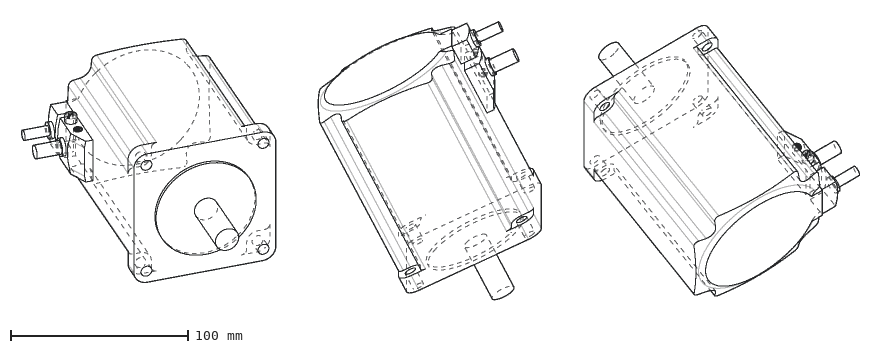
import cadquery as cq
import math

total_length = 151.0
square = 85.0
half = square / 2

shaft_dia = 14.0
shaft_length = 35.0
pilot_dia = 60.0
pilot_height = 2.0
pilot_x = total_length - shaft_length - pilot_height

flange_thickness = 10.0
flange_corner_radius = 8.0
bolt_spacing = 70.0
bolt_hole_dia = 6.5
flange_x = pilot_x - flange_thickness

relief_radius = 6.5
relief_edge_radius = 3.0
relief_wall = bolt_spacing / 2 - relief_radius

rear_face_radius = 37.5
cone_step_radius = 40.9
cone_step_x = 1.8
outer_cone_slope = 0.26
cone_outer_radius = half * math.sqrt(2)
cone_outer_x = cone_step_x + outer_cone_slope * (cone_outer_radius - cone_step_radius)

outlet_edge_depth = 9.4
outlet_crown_depth = 10.9
collar_depth = 13.0
cable_depth = 27.8
embed = 1.5

signal_box_start = 0.6
signal_box_end = 12.4
signal_box_half_height = 13.1
signal_collar_dia = 10.0
signal_cable_dia = 6.0

power_box_start = 16.5
power_box_end = 45.1
power_box_half_height = 13.5
power_cable_x = 25.7
power_collar_dia = 10.5
power_cable_dia = 8.0

slope_edge_depth = 4.2
slope_flat_depth = 5.0
slope_flat_half_height = 9.4
slope_rate = 0.48

screw_x = 21.7
screw_depth = 4.8
screw_dia = 7.0
screw_height = 4.8
screw_rim_radius = 1.2
screw_slot_width = 0.9
screw_slot_depth = 1.2
screw_slot_angle = -45
screw_recess_side = 2.1

symbol_x = 31.5
symbol_depth = 4.1
symbol_dia = 5.1
symbol_line = 0.3
symbol_height = 0.3
symbol_bar_lengths = (4.8, 3.2, 1.5)
symbol_bar_pitch = 0.83


def cylinder_x(start, length, dia):
    """Cylinder on the motor axis."""
    return cq.Workplane("YZ").workplane(offset=start).circle(dia / 2).extrude(length)


def box_x(start, end, y_start, y_end, half_height):
    """Box spanning the given X and Y ranges, centred on Z = 0."""
    size = (end - start, y_end - y_start, 2 * half_height)
    return cq.Workplane("XY").box(*size, centered=(False, False, True)).translate((start, y_start, 0))


def make_body():
    """Square motor body with rounded reliefs along its four edges."""
    body = box_x(0, flange_x, -half, half, half)
    relief_size = half - relief_wall
    for y_sign in (-1, 1):
        for z_sign in (-1, 1):
            centre = (y_sign * (relief_wall + half) / 2, z_sign * (relief_wall + half) / 2)
            relief = cq.Workplane("YZ").center(*centre).rect(relief_size, relief_size).extrude(flange_x)
            body = body.cut(relief)
    middle_x = flange_x / 2
    for y_sign in (-1, 1):
        for z_sign in (-1, 1):
            inner_point = (middle_x, y_sign * relief_wall, z_sign * relief_wall)
            inner_edge = cq.selectors.NearestToPointSelector(inner_point)
            body = body.edges(inner_edge).fillet(relief_radius)
            for y, z in ((half, relief_wall), (relief_wall, half)):
                outer_edge = cq.selectors.NearestToPointSelector((middle_x, y_sign * y, z_sign * z))
                body = body.edges(outer_edge).fillet(relief_edge_radius)
    return body


def make_rear_envelope():
    """Turned shape of the rear end, joined with the flat strip that leads to the signal outlet."""
    turned = (
        cq.Workplane("XY")
        .polyline([
            (0, 0),
            (0, rear_face_radius),
            (cone_step_x, cone_step_radius),
            (cone_outer_x, cone_outer_radius),
            (flange_x, cone_outer_radius),
            (flange_x, 0),
        ])
        .close()
        .revolve(360, (0, 0, 0), (1, 0, 0))
    )
    strip = box_x(0, signal_box_end, -half, 0, power_box_half_height)
    return turned.union(strip)


def make_flange():
    """Mounting flange with four bolt holes."""
    return (
        cq.Workplane("YZ")
        .workplane(offset=flange_x)
        .rect(square, square)
        .extrude(flange_thickness)
        .edges("|X")
        .fillet(flange_corner_radius)
        .faces(">X")
        .workplane()
        .rect(bolt_spacing, bolt_spacing, forConstruction=True)
        .vertices()
        .hole(bolt_hole_dia)
    )


def make_outlet_box(start, end, half_height):
    """Outlet box whose outer face is crowned in Z."""
    edge_y = -half - outlet_edge_depth
    return (
        cq.Workplane("YZ")
        .workplane(offset=start)
        .moveTo(-half + embed, -half_height)
        .lineTo(edge_y, -half_height)
        .threePointArc((-half - outlet_crown_depth, 0), (edge_y, half_height))
        .lineTo(-half + embed, half_height)
        .close()
        .extrude(end - start)
    )


def make_cable(x, collar_dia, cable_dia):
    """Cable stub and its collar, pointing along -Y."""
    base = cq.Workplane("XZ", origin=(x, -half + embed, 0))
    collar = base.circle(collar_dia / 2).extrude(collar_depth + embed)
    cable = base.circle(cable_dia / 2).extrude(cable_depth + embed)
    return collar.union(cable)


def slope_section(extra_depth):
    """Bevelled section below the sloped end, deepened by extra_depth."""
    edge_y = -half - slope_edge_depth - extra_depth
    flat_y = -half - slope_flat_depth - extra_depth
    return [
        (-half + embed, -power_box_half_height),
        (edge_y, -power_box_half_height),
        (flat_y, -slope_flat_half_height),
        (flat_y, slope_flat_half_height),
        (edge_y, power_box_half_height),
        (-half + embed, power_box_half_height),
    ]


def make_power_box():
    """Crowned outlet box trimmed by a bevelled slope at its +X end."""
    length = power_box_end - power_box_start
    slope_envelope = (
        cq.Workplane("YZ")
        .workplane(offset=power_box_start)
        .polyline(slope_section(slope_rate * length))
        .close()
        .workplane(offset=length)
        .polyline(slope_section(0))
        .close()
        .loft(ruled=True)
    )
    box = make_outlet_box(power_box_start, power_box_end, power_box_half_height)
    return box.intersect(slope_envelope)


def make_screw():
    """Earth screw head with a diagonal slot through a square recess."""
    head = (
        cq.Workplane("XY")
        .circle(screw_dia / 2)
        .extrude(screw_height)
        .faces(">Z")
        .edges()
        .fillet(screw_rim_radius)
    )
    slots = cq.Workplane("XY").workplane(offset=screw_height)
    slot = slots.rect(screw_dia, screw_slot_width).extrude(-screw_slot_depth)
    slot = slot.rotate((0, 0, 0), (0, 0, 1), screw_slot_angle)
    recess = slots.rect(screw_recess_side, screw_recess_side).extrude(-screw_slot_depth)
    head = head.cut(slot).cut(recess)
    return head.translate((screw_x, -half - screw_depth, power_box_half_height))


def make_earth_symbol():
    """Raised ring holding a stem and three bars that shorten toward -Y."""
    plane = cq.Workplane("XY")
    symbol = plane.circle(symbol_dia / 2).circle(symbol_dia / 2 - symbol_line).extrude(symbol_height)
    stem_length = symbol_dia / 2 - symbol_line / 2
    stem = plane.center(0, stem_length / 2).rect(symbol_line, stem_length).extrude(symbol_height)
    symbol = symbol.union(stem)
    for index, length in enumerate(symbol_bar_lengths):
        bar = plane.center(0, -index * symbol_bar_pitch).rect(length, symbol_line).extrude(symbol_height)
        symbol = symbol.union(bar)
    return symbol.translate((symbol_x, -half - symbol_depth, power_box_half_height))


signal_cable_x = (signal_box_start + signal_box_end) / 2

result = (
    make_body()
    .intersect(make_rear_envelope())
    .union(make_flange())
    .union(cylinder_x(pilot_x, pilot_height, pilot_dia))
    .union(cylinder_x(pilot_x, pilot_height + shaft_length, shaft_dia))
    .union(make_outlet_box(signal_box_start, signal_box_end, signal_box_half_height))
    .union(make_cable(signal_cable_x, signal_collar_dia, signal_cable_dia))
    .union(make_power_box())
    .union(make_cable(power_cable_x, power_collar_dia, power_cable_dia))
    .union(make_screw())
    .union(make_earth_symbol())
)